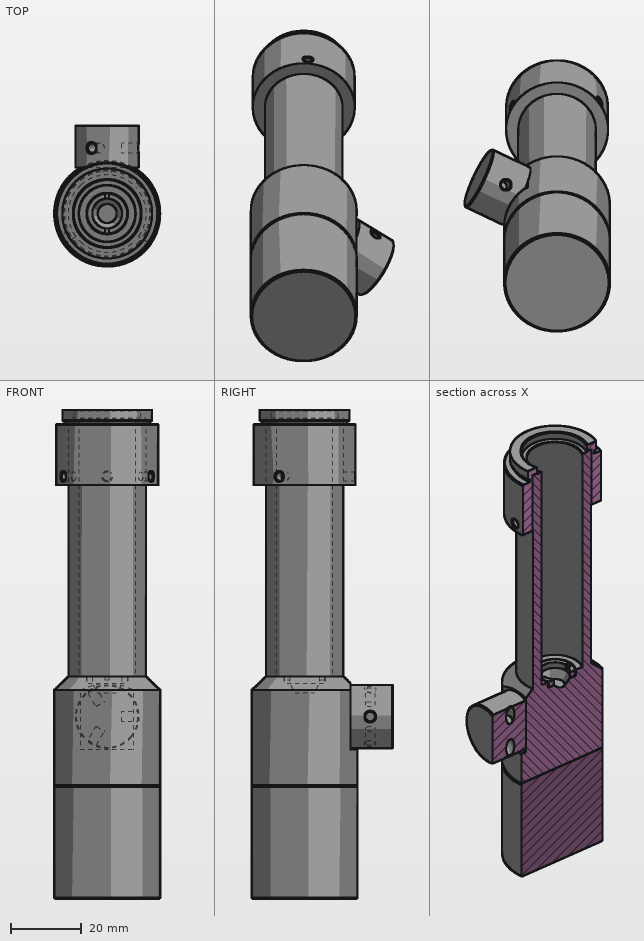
import cadquery as cq
import math

overall_height = 138.5
collar_top = 134.5
collar_bottom = 117.1
tube_bottom = 63.0
shoulder_bottom = 59.1
joint_height = 32.0

barrel_dia = 30.0
collar_dia = 29.0
nose_dia = 25.5
neck_dia = 24.1
tube_dia = 22.0

foot_chamfer = 0.4
joint_chamfer = 0.3
collar_chamfer = 0.3
nose_chamfer = 0.4
neck_height = 0.7

mouth_dia = 19.0
mouth_depth = 2.4
mouth_chamfer = 0.3
tube_bore_dia = 15.9
bore_chamfer = 0.1
pocket_dia = 11.8
taper_end_dia = 5.4
taper_depth = 2.8

ring_dia = 11.4
ring_bore_dia = 8.5
ring_thickness = 2.0
slot_width = 1.1
slot_depth = 1.0

port_dia = 18.0
port_height = 51.6
port_seat = 13.0
overall_depth = 40.0
port_end = overall_depth - barrel_dia / 2
port_chamfer = 0.3
seat_clearance = 0.3

holes_per_ring = 3
countersink_depth = 0.3
collar_hole_dia = 2.5
collar_hole_height = 119.6
port_hole_dia = 2.8
port_hole_place = 18.5
port_hole_depth = 5.0

tube_top = overall_height - mouth_depth
ring_bottom = tube_bottom - ring_thickness


def cylinder(diameter, bottom, top):
    """Cylinder on the Z axis between two heights."""
    return cq.Workplane("XY").workplane(offset=bottom).circle(diameter / 2).extrude(top - bottom)


def cone(bottom_dia, top_dia, bottom, top):
    """Cone frustum on the Z axis between two heights."""
    base_centre = cq.Vector(0, 0, bottom)
    return cq.Workplane(cq.Solid.makeCone(bottom_dia / 2, top_dia / 2, top - bottom, pnt=base_centre))


def drill_radial_holes(body, outer_dia, hole_dia, depth, height, first_angle):
    """Cut evenly spaced countersunk holes into a cylinder standing on the Z axis."""
    surface = outer_dia / 2
    countersink_dia = hole_dia + 2 * countersink_depth
    rim = math.sqrt(surface**2 - (countersink_dia / 2) ** 2)
    drill = cylinder(hole_dia, surface - depth, surface)
    drill = drill.union(cone(hole_dia, countersink_dia, rim - countersink_depth, rim))
    drill = drill.union(cylinder(countersink_dia, rim, surface + countersink_depth))
    drill = drill.rotate((0, 0, 0), (0, 1, 0), 90).translate((0, 0, height))
    for index in range(holes_per_ring):
        angle = first_angle + index * 360 / holes_per_ring
        body = body.cut(drill.rotate((0, 0, 0), (0, 0, 1), angle))
    return body


def make_mount():
    """Collar with an undercut nose, clamped on the top end of the tube."""
    nose_bottom = collar_top + neck_height
    collar = cylinder(collar_dia, collar_bottom, collar_top).faces(">Z").chamfer(collar_chamfer)
    neck = cylinder(neck_dia, collar_top, nose_bottom)
    nose = cylinder(nose_dia, nose_bottom, overall_height).faces("<Z").chamfer(nose_chamfer)
    mount = collar.union(neck).union(nose)
    mount = mount.cut(cylinder(tube_dia, collar_bottom, tube_top))
    mount = mount.cut(cylinder(mouth_dia, tube_top, overall_height))
    mouth_rim_dia = mouth_dia + 2 * mouth_chamfer
    mount = mount.cut(cone(mouth_dia, mouth_rim_dia, overall_height - mouth_chamfer, overall_height))
    return drill_radial_holes(mount, collar_dia, collar_hole_dia, collar_dia / 2, collar_hole_height, 90)


def make_housing():
    """Tube, sloping shoulder and barrel in one piece, with a flat seat for the port."""
    barrel = cylinder(barrel_dia, joint_height, shoulder_bottom).faces("<Z").chamfer(joint_chamfer)
    shoulder = cone(barrel_dia, tube_dia, shoulder_bottom, tube_bottom)
    tube = cylinder(tube_dia, tube_bottom, tube_top)
    housing = barrel.union(shoulder).union(tube)

    bore_rim_dia = tube_bore_dia + 2 * bore_chamfer
    housing = housing.cut(cylinder(tube_bore_dia, tube_bottom, tube_top))
    housing = housing.cut(cone(tube_bore_dia, bore_rim_dia, tube_top - bore_chamfer, tube_top))
    housing = housing.cut(cylinder(pocket_dia, ring_bottom, tube_bottom))
    housing = housing.cut(cone(taper_end_dia, ring_bore_dia, ring_bottom - taper_depth, ring_bottom))

    seat_bottom = port_height - port_dia / 2 - seat_clearance
    seat = (
        cq.Workplane("XY")
        .box(barrel_dia, barrel_dia, tube_bottom - seat_bottom, centered=(True, False, False))
        .translate((0, port_seat, seat_bottom))
    )
    return housing.cut(seat)


def make_lower_barrel():
    barrel = cylinder(barrel_dia, 0, joint_height)
    return barrel.faces("<Z").chamfer(foot_chamfer).faces(">Z").chamfer(joint_chamfer)


def make_retaining_ring():
    ring = cylinder(ring_dia, ring_bottom, tube_bottom).cut(cylinder(ring_bore_dia, ring_bottom, tube_bottom))
    slot = (
        cq.Workplane("XY")
        .box(slot_width, ring_dia, slot_depth, centered=(True, True, False))
        .translate((0, 0, tube_bottom - slot_depth))
    )
    return ring.cut(slot)


def make_port():
    """Port built upright, then laid along +Y onto its seat."""
    port = cylinder(port_dia, 0, port_end - port_seat).faces(">Z").chamfer(port_chamfer)
    place = port_hole_place - port_seat
    port = drill_radial_holes(port, port_dia, port_hole_dia, port_hole_depth, place, 0)
    return port.rotate((0, 0, 0), (1, 0, 0), -90).translate((0, port_seat, port_height))


mount = make_mount()
housing = make_housing()
lower_barrel = make_lower_barrel()
retaining_ring = make_retaining_ring()
port = make_port()

result = cq.Compound.makeCompound([
    mount.val(),
    housing.val(),
    lower_barrel.val(),
    retaining_ring.val(),
    port.val(),
])